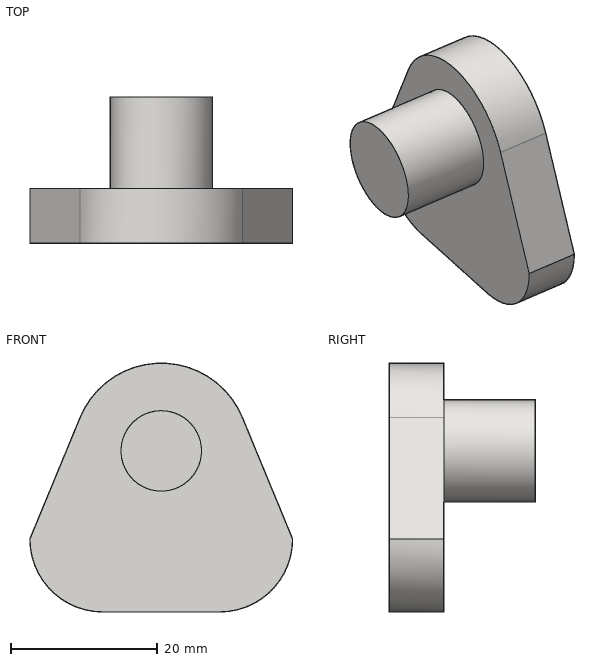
import cadquery as cq
import math

width = 35.92
height = 34.0
plate_thickness = 7.5
top_radius = 12.0
corner_radius = 10.0

total_depth = 20.0
boss_diameter = 14.0
hole_diameter = 11.0
hole_depth = 4.0

half_width = width / 2
axis_z = height - top_radius
flat_half = half_width - corner_radius

rise = axis_z - corner_radius
axis_distance = math.hypot(half_width, rise)
flank_angle = math.atan2(rise, half_width) + math.asin(top_radius / axis_distance)
tangent_x = top_radius * math.sin(flank_angle)
tangent_z = axis_z + top_radius * math.cos(flank_angle)

diagonal = corner_radius * math.sqrt(0.5)
corner_mid_x = flat_half + diagonal
corner_mid_z = corner_radius - diagonal


def on_axis(y):
    """XZ workplane at the given depth, centred on the boss axis."""
    return cq.Workplane("XZ", origin=(0, y, axis_z))


plate = (
    cq.Workplane("XZ")
    .moveTo(-flat_half, 0)
    .lineTo(flat_half, 0)
    .threePointArc((corner_mid_x, corner_mid_z), (half_width, corner_radius))
    .lineTo(tangent_x, tangent_z)
    .threePointArc((0, height), (-tangent_x, tangent_z))
    .lineTo(-half_width, corner_radius)
    .threePointArc((-corner_mid_x, corner_mid_z), (-flat_half, 0))
    .close()
    .extrude(-plate_thickness)
)

boss_length = total_depth - plate_thickness
boss = on_axis(plate_thickness).circle(boss_diameter / 2).extrude(-boss_length)
hole = on_axis(0).circle(hole_diameter / 2).extrude(-hole_depth)

result = plate.union(boss).cut(hole)